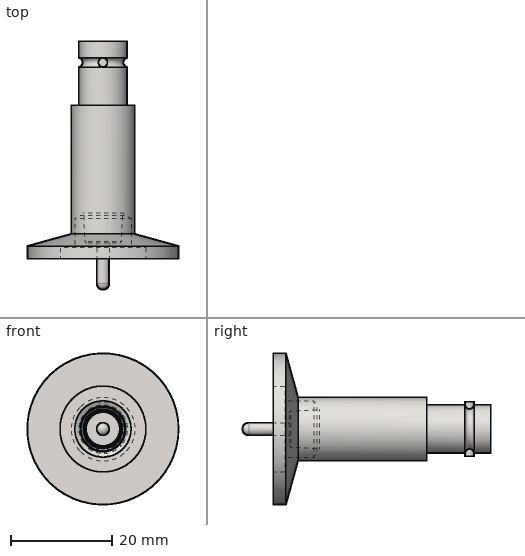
import cadquery as cq


OVERALL_LENGTH = 49.15
FULL_TURN = 360

FLANGE_DIAMETER = 29.97
FLANGE_RADIUS = FLANGE_DIAMETER / 2
FLANGE_RIM_THICKNESS = 2.55
FLANGE_CONE_END = 4.95
RECESS_RADIUS = 8.5
RECESS_DEPTH = 2.35

PIN_RADIUS = 1.25
PIN_LENGTH = 6.1

BARREL_RADIUS = 6.3
BARREL_END = 30.4
CONNECTOR_RADIUS = 4.8
CONNECTOR_END = OVERALL_LENGTH - PIN_LENGTH

LUG_RADIUS = 0.9
LUG_TIP_RADIUS = 5.4
LUG_SETBACK = 4.2
LUG_POSITION = CONNECTOR_END - LUG_SETBACK
GROOVE_DEPTH = 0.75

BORE_MOUTH_RADIUS = 5.57
BORE_NECK_RADIUS = 4.5
BORE_SHOULDER_DEPTH = 8.0
BORE_SHOULDER_LENGTH = 0.65
BORE_NECK_DEPTH = BORE_SHOULDER_DEPTH + BORE_SHOULDER_LENGTH
BORE_STEP_RADIUS = 4.35
BORE_FLOOR_RADIUS = 3.88
BORE_FLOOR_DEPTH = BORE_NECK_DEPTH + BORE_STEP_RADIUS - BORE_FLOOR_RADIUS

INSULATOR_FACE_RADIUS = 3.33
INSULATOR_BODY_RADIUS = 3.6
INSULATOR_FACE_DEPTH = 3.2
INSULATOR_CHAMFER_LENGTH = 0.3


def revolve_about_y(profile):
    return profile.close().revolve(FULL_TURN, (0, 0, 0), (0, 1, 0))


def make_body():
    groove_start = LUG_POSITION - LUG_RADIUS
    groove_end = LUG_POSITION + LUG_RADIUS
    profile = (
        cq.Workplane("XY")
        .moveTo(0, 0)
        .lineTo(FLANGE_RADIUS, 0)
        .lineTo(FLANGE_RADIUS, FLANGE_RIM_THICKNESS)
        .lineTo(BARREL_RADIUS, FLANGE_CONE_END)
        .lineTo(BARREL_RADIUS, BARREL_END)
        .lineTo(CONNECTOR_RADIUS, BARREL_END)
        .lineTo(CONNECTOR_RADIUS, groove_start)
        .threePointArc(
            (CONNECTOR_RADIUS - GROOVE_DEPTH, LUG_POSITION),
            (CONNECTOR_RADIUS, groove_end),
        )
        .lineTo(CONNECTOR_RADIUS, CONNECTOR_END)
        .lineTo(0, CONNECTOR_END)
    )
    return revolve_about_y(profile)


def make_bore():
    profile = (
        cq.Workplane("XY")
        .moveTo(0, 0)
        .lineTo(RECESS_RADIUS, 0)
        .lineTo(RECESS_RADIUS, RECESS_DEPTH)
        .lineTo(BORE_MOUTH_RADIUS, RECESS_DEPTH)
        .lineTo(BORE_MOUTH_RADIUS, BORE_SHOULDER_DEPTH)
        .lineTo(BORE_NECK_RADIUS, BORE_NECK_DEPTH)
        .lineTo(BORE_STEP_RADIUS, BORE_NECK_DEPTH)
        .lineTo(BORE_FLOOR_RADIUS, BORE_FLOOR_DEPTH)
        .lineTo(0, BORE_FLOOR_DEPTH)
    )
    return revolve_about_y(profile)


def make_insulator():
    profile = (
        cq.Workplane("XY")
        .moveTo(0, INSULATOR_FACE_DEPTH)
        .lineTo(INSULATOR_FACE_RADIUS, INSULATOR_FACE_DEPTH)
        .lineTo(INSULATOR_BODY_RADIUS, INSULATOR_FACE_DEPTH + INSULATOR_CHAMFER_LENGTH)
        .lineTo(BORE_FLOOR_RADIUS, BORE_FLOOR_DEPTH)
        .lineTo(0, BORE_FLOOR_DEPTH)
    )
    return revolve_about_y(profile)


def make_contact_pin():
    tip_center = PIN_RADIUS - PIN_LENGTH
    shaft_length = INSULATOR_FACE_DEPTH - tip_center
    shaft = cq.Workplane("XZ", origin=(0, tip_center, 0)).circle(PIN_RADIUS).extrude(-shaft_length)
    tip = cq.Workplane("XY", origin=(0, tip_center, 0)).sphere(PIN_RADIUS)
    return shaft.union(tip)


def make_lugs():
    return (
        cq.Workplane("XY", origin=(0, LUG_POSITION, 0))
        .circle(LUG_RADIUS)
        .extrude(LUG_TIP_RADIUS, both=True)
    )


housing = make_body().cut(make_bore())
result = housing.union(make_insulator()).union(make_contact_pin()).union(make_lugs())